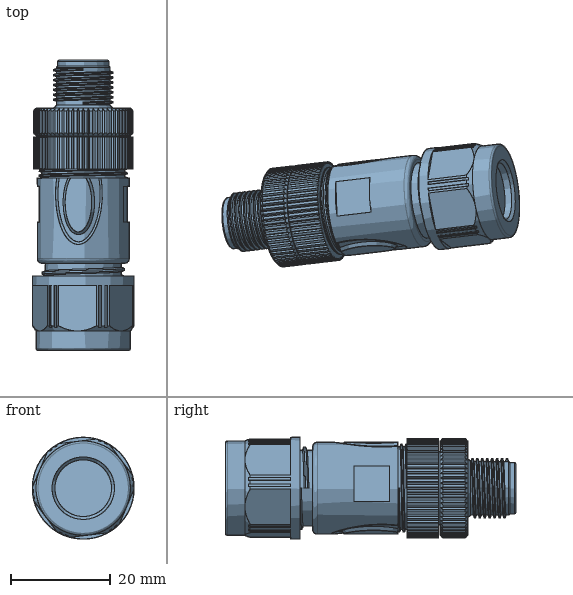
import cadquery as cq
import math


CAP_TOP = 3.9
FLATS_TOP = 13.1
NUT_TOP = 15.0
BODY_BOTTOM = 17.5
BODY_TOP = 34.65
REAR_RING_BOTTOM = 36.5
REAR_RING_TOP = 42.85
FRONT_RING_BOTTOM = 43.15
FRONT_RING_TOP = 48.7
TIP_STEP = 57.2
TOTAL_LENGTH = 58.4

CAP_DIA = 19.0
NUT_DIA = 20.5
NECK_DIA = 15.3
BODY_DIA = 18.5
BODY_SCREW_DIA = 16.7
RING_DIA = 20.0
RING_GAP_DIA = 14.7
TIP_DIA = 10.8
TIP_END_DIA = 10.4

CAP_FILLET = 0.4
NUT_CHAMFER_HEIGHT = 1.05
BODY_FILLET = 0.95
RING_CHAMFER = 0.5
TIP_CHAMFER = 0.3
TIP_CONE = 0.6
TIP_STEP_CONE = 0.3

CABLE_DIA = 11.4
CABLE_DEPTH = 2.0
CABLE_BEVEL = 0.6

NUT_ROLL = -6.9
BODY_ROLL = -6.3

FLAT_COUNT = 6
LAND_GROOVE_ANGLE = 3.7
LAND_GROOVE_WIDTH = 0.5
LAND_GROOVE_DEPTH = 0.25

KNURL_COUNT = 60
KNURL_WIDTH = 0.5
KNURL_DEPTH = 0.35

WRENCH_FLAT_SIZE = 7.2
WRENCH_FLAT_BOTTOM = 25.8
BADGE_DEPTH = 0.6
BADGE_CENTER = 31.4
BADGE_HALF_WIDTH = 4.75
BADGE_HALF_LENGTH = 10.1
ISLAND_CENTER = 29.8
ISLAND_HALF_WIDTH = 2.7
ISLAND_HALF_LENGTH = 5.95
BADGE_SLOPE = 0.5

TIP_THREAD_DIA = 11.9
TIP_THREAD_PITCH = 1.0
TIP_THREAD_START = 49.65
TIP_THREAD_TURNS = 7
TIP_THREAD_START_ANGLE = -90
BODY_THREAD_DIA = 17.7
BODY_THREAD_PITCH = 1.0
BODY_THREAD_TURNS = 2
NECK_THREAD_DIA = 16.6
NECK_THREAD_PITCH = 1.5
NECK_THREAD_START = 14.8
NECK_THREAD_TURNS = 1
THREAD_ROOT_RATIO = 0.7
THREAD_CREST_RATIO = 0.25
THREAD_OVERLAP = 0.1


def cylinder(diameter, bottom, top):
    return cq.Workplane("XY").workplane(offset=bottom).circle(diameter / 2).extrude(top - bottom)


def around(tool, angles):
    """Return a compound of copies of a tool turned about the axis."""
    copies = [tool.rotate((0, 0, 0), (0, 0, 1), angle).val() for angle in angles]
    return cq.Workplane(obj=cq.Compound.makeCompound(copies))


def make_thread(core_dia, crest_dia, pitch, start, turns):
    """Right-hand trapezoidal thread ridge that starts on the +X side."""
    root_radius = core_dia / 2 - THREAD_OVERLAP
    crest_radius = crest_dia / 2
    root_half = pitch * THREAD_ROOT_RATIO / 2
    crest_half = pitch * THREAD_CREST_RATIO / 2
    helix = cq.Wire.makeHelix(pitch, pitch * turns, root_radius)
    ridge = (
        cq.Workplane("XZ")
        .polyline([
            (root_radius, -root_half),
            (crest_radius, -crest_half),
            (crest_radius, crest_half),
            (root_radius, root_half),
        ])
        .close()
        .sweep(cq.Workplane(obj=helix), isFrenet=True)
    )
    return ridge.translate((0, 0, start))


def make_screw(core_dia, bottom, top, thread):
    """Threaded neck between two shoulders, with the thread cut off at both."""
    span = cylinder(2 * core_dia, bottom, top)
    return cylinder(core_dia, bottom, top).union(thread.intersect(span))


def make_nut():
    nut_radius = NUT_DIA / 2
    cap_radius = CAP_DIA / 2
    nut = cylinder(NUT_DIA, CAP_TOP, NUT_TOP)

    flat_cut = cq.Workplane("XY").box(
        nut_radius, NUT_DIA, FLATS_TOP - CAP_TOP, centered=(False, True, False)
    ).translate((cap_radius, 0, CAP_TOP))
    step = 360 / FLAT_COUNT
    flat_angles = [NUT_ROLL + step * (i + 0.5) for i in range(FLAT_COUNT)]
    nut = nut.cut(around(flat_cut, flat_angles))

    groove = cq.Workplane("XY").box(
        nut_radius, LAND_GROOVE_WIDTH, FLATS_TOP - CAP_TOP, centered=(False, True, False)
    ).translate((nut_radius - LAND_GROOVE_DEPTH, 0, CAP_TOP))
    groove_angles = []
    for flat_angle in flat_angles:
        land_angle = flat_angle + step / 2
        groove_angles += [land_angle - LAND_GROOVE_ANGLE, land_angle + LAND_GROOVE_ANGLE]
    nut = nut.cut(around(groove, groove_angles))

    envelope = (
        cq.Workplane("XZ")
        .polyline([
            (0, CAP_TOP),
            (cap_radius, CAP_TOP),
            (nut_radius, CAP_TOP + NUT_CHAMFER_HEIGHT),
            (nut_radius, NUT_TOP),
            (0, NUT_TOP),
        ])
        .close()
        .revolve(360, (0, 0), (0, 1))
    )
    nut = nut.intersect(envelope)

    cap = cylinder(CAP_DIA, 0, CAP_TOP).faces("<Z").edges().fillet(CAP_FILLET)
    cable_recess = cylinder(CABLE_DIA, 0, CABLE_DEPTH)
    mouth = cq.Solid.makeCone(CABLE_DIA / 2 + CABLE_BEVEL, CABLE_DIA / 2, CABLE_BEVEL)
    return nut.union(cap).cut(cable_recess).cut(cq.Workplane(obj=mouth))


def elliptic_bar(center_height, half_width, half_length):
    """Elliptic bar pointing from the axis along -Y."""
    return (
        cq.Workplane("XZ")
        .center(0, center_height)
        .ellipse(half_width, half_length)
        .extrude(BODY_DIA)
    )


def make_badge_cut():
    """Elliptic recess of even depth, open at the top of the body, around a smaller island."""
    floor_radius = BODY_DIA / 2 - BADGE_DEPTH
    recess = elliptic_bar(BADGE_CENTER, BADGE_HALF_WIDTH, BADGE_HALF_LENGTH)
    island = elliptic_bar(ISLAND_CENTER, ISLAND_HALF_WIDTH, ISLAND_HALF_LENGTH)
    groove = recess.cut(island).cut(cylinder(2 * floor_radius, 0, TOTAL_LENGTH))

    groove = groove.faces("%CYLINDER").edges().chamfer(BADGE_SLOPE)
    body_span = cylinder(2 * BODY_DIA, BODY_BOTTOM, BODY_TOP)
    return groove.intersect(body_span)


def make_body():
    body = cylinder(BODY_DIA, BODY_BOTTOM, BODY_TOP).faces("<Z").edges().fillet(BODY_FILLET)
    flat_distance = math.sqrt((BODY_DIA / 2) ** 2 - (WRENCH_FLAT_SIZE / 2) ** 2)
    flat_cut = cq.Workplane("XY").box(
        BODY_DIA, BODY_DIA, WRENCH_FLAT_SIZE, centered=(False, True, False)
    ).translate((flat_distance, 0, WRENCH_FLAT_BOTTOM))
    sides = [BODY_ROLL, BODY_ROLL + 180]
    body = body.cut(around(flat_cut, sides))
    return body.cut(around(make_badge_cut(), sides))


def make_rings():
    rear = cylinder(RING_DIA, REAR_RING_BOTTOM, REAR_RING_TOP)
    front = cylinder(RING_DIA, FRONT_RING_BOTTOM, FRONT_RING_TOP).edges().chamfer(RING_CHAMFER)
    spacer = cylinder(RING_GAP_DIA, REAR_RING_TOP, FRONT_RING_BOTTOM)
    return rear.union(spacer).union(front)


def make_knurl_notches():
    """V-shaped notches that run along both rings."""
    radius = RING_DIA / 2
    notch = (
        cq.Workplane("XY")
        .workplane(offset=REAR_RING_BOTTOM)
        .polyline([
            (radius - KNURL_DEPTH, 0),
            (radius + KNURL_DEPTH, KNURL_WIDTH),
            (radius + KNURL_DEPTH, -KNURL_WIDTH),
        ])
        .close()
        .extrude(FRONT_RING_TOP - REAR_RING_BOTTOM)
    )
    return around(notch, [360 / KNURL_COUNT * i for i in range(KNURL_COUNT)])


def make_tip():
    radius = TIP_DIA / 2
    end_radius = TIP_END_DIA / 2
    return (
        cq.Workplane("XZ")
        .polyline([
            (0, FRONT_RING_TOP),
            (radius + TIP_CONE, FRONT_RING_TOP),
            (radius, FRONT_RING_TOP + TIP_CONE),
            (radius, TIP_STEP - TIP_STEP_CONE),
            (end_radius, TIP_STEP),
            (end_radius, TOTAL_LENGTH - TIP_CHAMFER),
            (end_radius - TIP_CHAMFER, TOTAL_LENGTH),
            (0, TOTAL_LENGTH),
        ])
        .close()
        .revolve(360, (0, 0), (0, 1))
    )


neck_thread = make_thread(
    NECK_DIA, NECK_THREAD_DIA, NECK_THREAD_PITCH, NECK_THREAD_START, NECK_THREAD_TURNS
)
body_thread = make_thread(
    BODY_SCREW_DIA, BODY_THREAD_DIA, BODY_THREAD_PITCH, BODY_TOP, BODY_THREAD_TURNS
)
tip_thread = make_thread(
    TIP_DIA, TIP_THREAD_DIA, TIP_THREAD_PITCH, TIP_THREAD_START, TIP_THREAD_TURNS
)
neck = make_screw(NECK_DIA, NUT_TOP, BODY_BOTTOM, neck_thread)
body_screw = make_screw(BODY_SCREW_DIA, BODY_TOP, REAR_RING_BOTTOM, body_thread)
tip_thread = tip_thread.rotate((0, 0, 0), (0, 0, 1), TIP_THREAD_START_ANGLE)
tip = make_tip().union(tip_thread)

connector = make_nut()
for piece in (neck, make_body(), body_screw, make_rings(), tip):
    connector = connector.union(piece)
connector = connector.cut(make_knurl_notches())

result = connector.rotate((0, 0, 0), (1, 0, 0), -90)